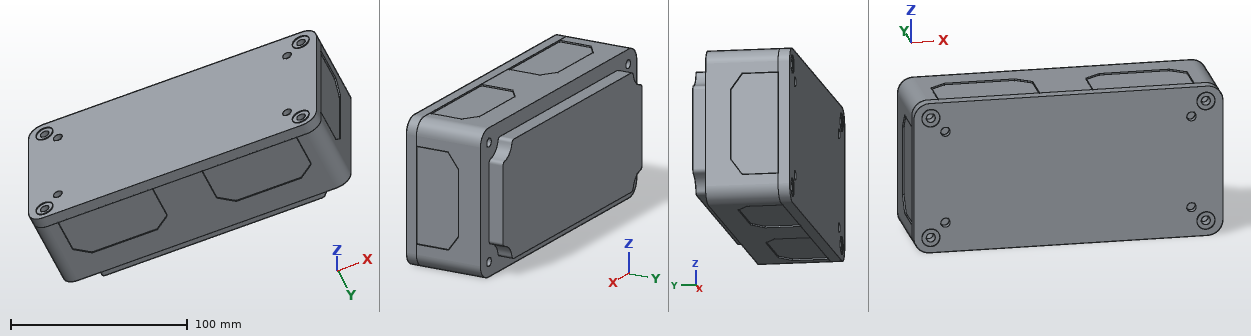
import cadquery as cq


width = 178.0
height = 89.0
depth = 57.3
corner_radius = 9.0

cover_thickness = 6.5
foot_thickness = 9.0
housing_back = depth - foot_thickness

screw_x = 79.2
screw_z = 35.6
screw_hole_diameter = 5.2
counterbore_diameter = 10.3
counterbore_depth = 0.5
pin_hole_x = 70.9
pin_hole_z = 27.0
pin_hole_diameter = 5.3
pin_hole_depth = 3.5

foot_width = 2 * screw_x
foot_height = 2 * screw_z
scoop_radius = 10.3
scoop_blend = 2.5

panel_length = 58.4
panel_reach = 27.2
panel_corner_along = 9.0
panel_corner_across = 6.5
panel_thickness = 3.0
panel_recess = 0.9
panel_pair_offset = 44.5


def along_y(y):
    """Workplane at the given Y whose local axes are X and -Z and whose extrusions run toward +Y."""
    return cq.Workplane(cq.Plane(origin=(0, y, 0), xDir=(1, 0, 0), normal=(0, 1, 0)))


def four_corners(x, z):
    return [(sx * x, sz * z) for sx in (-1, 1) for sz in (-1, 1)]


def rounded_block(y, thickness):
    return along_y(y).rect(width, height).extrude(thickness).edges("|Y").fillet(corner_radius)


def holes(y, length, points, diameter):
    return along_y(y).pushPoints(points).circle(diameter / 2).extrude(length)


screw_points = four_corners(screw_x, screw_z)


def make_cover():
    pin_points = four_corners(pin_hole_x, pin_hole_z)
    cover = rounded_block(0, cover_thickness)
    cover = cover.cut(holes(0, cover_thickness, screw_points, screw_hole_diameter))
    cover = cover.cut(holes(0, counterbore_depth, screw_points, counterbore_diameter))
    return cover.cut(holes(0, pin_hole_depth, pin_points, pin_hole_diameter))


def make_foot():
    foot = along_y(housing_back).rect(foot_width, foot_height).extrude(foot_thickness)
    foot = foot.cut(holes(housing_back, foot_thickness, screw_points, 2 * scoop_radius))
    return foot.edges("|Y").fillet(scoop_blend)


def panel_blank(thickness):
    """Panel along the top wall, centred on X = 0, its outer face flush with the wall."""
    half = panel_length / 2
    inner_y = cover_thickness + panel_reach
    shoulder_y = inner_y - panel_corner_across
    outline = [
        (-half, cover_thickness),
        (half, cover_thickness),
        (half, shoulder_y),
        (half - panel_corner_along, inner_y),
        (panel_corner_along - half, inner_y),
        (-half, shoulder_y),
    ]
    return cq.Workplane("XY").polyline(outline).close().extrude(-thickness)


def place_panels(blank, top_level, side_level):
    panels = []
    for side in (0, 180):
        for x in (-panel_pair_offset, panel_pair_offset):
            upper = blank.translate((x, 0, top_level))
            panels.append(upper.rotate((0, 0, 0), (0, 1, 0), side))
        end = blank.translate((0, 0, side_level))
        panels.append(end.rotate((0, 0, 0), (0, 1, 0), side + 90))
    return panels


def make_panels():
    blank = panel_blank(panel_thickness)
    return place_panels(blank, height / 2 - panel_recess, width / 2 - panel_recess)


def make_housing():
    housing = rounded_block(cover_thickness, housing_back - cover_thickness).union(make_foot())
    housing = housing.cut(holes(cover_thickness, depth, screw_points, screw_hole_diameter))
    for pocket in place_panels(panel_blank(panel_recess + panel_thickness), height / 2, width / 2):
        housing = housing.cut(pocket)
    return housing


cover = make_cover()
housing = make_housing()
panels = make_panels()

result = cq.Compound.makeCompound(
    [cover.val(), housing.val(), *[panel.val() for panel in panels]]
)